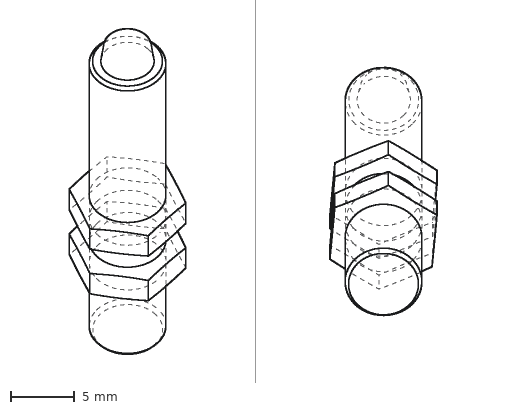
import cadquery as cq
import math

barrel_diameter = 6.0
barrel_length = 30.0
barrel_end_diameter = 5.47
top_chamfer_height = 0.27
bottom_chamfer_height = 0.38
total_length = 31.8
tip_base_diameter = 4.15
tip_top_diameter = 3.7
tip_edge_radius = 0.15

nut_across_flats = 8.0
nut_across_corners = nut_across_flats / math.cos(math.pi / 6)
nut_height = 2.5
nut_face_diameter = 7.75
nut_corner_drop = 0.13
lower_nut_base = 7.5
nut_pitch = 5.0
nut_count = 2


def make_sensor():
    """Chamfered barrel and its rounded conical tip, as one turned solid."""
    barrel_radius = barrel_diameter / 2
    end_radius = barrel_end_diameter / 2
    profile = (
        cq.Workplane("XZ")
        .moveTo(0, 0)
        .lineTo(end_radius, 0)
        .lineTo(barrel_radius, bottom_chamfer_height)
        .lineTo(barrel_radius, barrel_length - top_chamfer_height)
        .lineTo(end_radius, barrel_length)
        .lineTo(tip_base_diameter / 2, barrel_length)
        .lineTo(tip_top_diameter / 2, total_length)
        .lineTo(0, total_length)
        .close()
    )
    turned = profile.revolve(360, (0, 0, 0), (0, 1, 0))
    return turned.faces(">Z").edges().fillet(tip_edge_radius)


def make_nut(base_height):
    """Hexagonal nut with corners on the Y axis, bevelled on both faces."""
    hexagon = (
        cq.Workplane("XY")
        .polygon(6, nut_across_corners)
        .extrude(nut_height)
        .rotate((0, 0, 0), (0, 0, 1), 90)
    )
    face_radius = nut_face_diameter / 2
    corner_radius = nut_across_corners / 2
    envelope = (
        cq.Workplane("XZ")
        .moveTo(0, 0)
        .lineTo(face_radius, 0)
        .lineTo(corner_radius, nut_corner_drop)
        .lineTo(corner_radius, nut_height - nut_corner_drop)
        .lineTo(face_radius, nut_height)
        .lineTo(0, nut_height)
        .close()
        .revolve(360, (0, 0, 0), (0, 1, 0))
    )
    bore = cq.Workplane("XY").circle(barrel_diameter / 2).extrude(nut_height)
    return hexagon.intersect(envelope).cut(bore).translate((0, 0, base_height))


sensor = make_sensor()
nuts = [make_nut(lower_nut_base + i * nut_pitch) for i in range(nut_count)]

result = cq.Compound.makeCompound([sensor.solids().val(), *[nut.solids().val() for nut in nuts]])